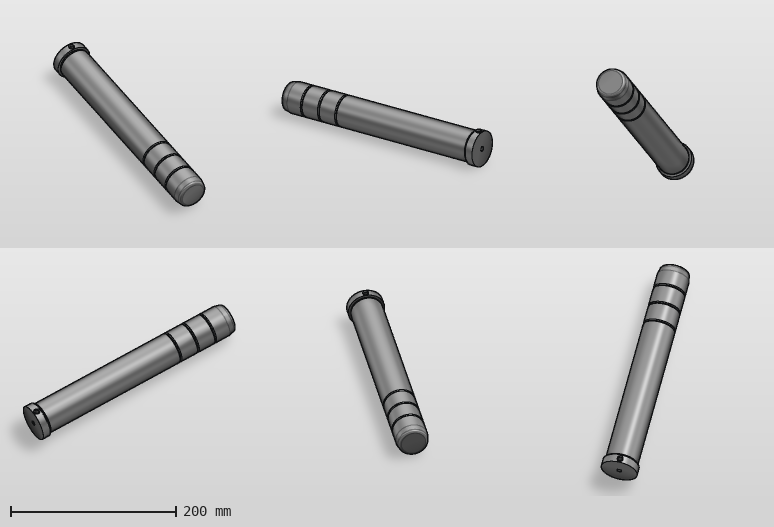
import cadquery as cq
import math

length = 280.0
head_diameter = 45.0
head_length = 10.0
body_diameter = 40.0
head_radius = head_diameter / 2
body_radius = body_diameter / 2

relief_end = 12.5
relief_ramp = 0.8
relief_depth = 0.5

first_groove = 199.5
groove_pitch = 25.0
groove_count = 3
groove_width = 2.8
groove_depth = 0.8

nose_length = 10.0
tip_length = 3.5
tip_radius = 18.5
nose_start = length - nose_length
tip_start = length - tip_length

drill_point_angle = 118
center_hole_diameter = 5.0
center_sink_diameter = 6.0
center_hole_depth = 8.5
side_hole_diameter = 5.0
side_sink_diameter = 7.8
side_hole_depth = 10.0


def make_pin():
    """Revolve the half profile of the pin about the X axis."""
    neck_radius = body_radius - relief_depth
    profile = (
        cq.Workplane("XZ")
        .lineTo(0, head_radius)
        .lineTo(head_length, head_radius)
        .lineTo(head_length, neck_radius)
        .lineTo(relief_end - relief_ramp, neck_radius)
        .lineTo(relief_end, body_radius)
    )
    for index in range(groove_count):
        middle = first_groove + index * groove_pitch
        profile = (
            profile.lineTo(middle - groove_width / 2, body_radius)
            .lineTo(middle, body_radius - groove_depth)
            .lineTo(middle + groove_width / 2, body_radius)
        )
    diagonal = tip_length * math.sqrt(0.5)
    profile = (
        profile.lineTo(nose_start, body_radius)
        .lineTo(tip_start, tip_radius)
        .threePointArc(
            (tip_start + diagonal, tip_radius - tip_length + diagonal),
            (length, tip_radius - tip_length),
        )
        .lineTo(length, 0)
        .close()
    )
    return profile.revolve(360, (0, 0, 0), (1, 0, 0))


def countersunk_hole(diameter, sink_diameter, depth):
    """Blind cutter entering at the origin along +X, with a 90 degree countersink and drill point."""
    sink_depth = (sink_diameter - diameter) / 2
    point_length = diameter / 2 / math.tan(math.radians(drill_point_angle / 2))
    return (
        cq.Workplane("XZ")
        .lineTo(0, sink_diameter / 2)
        .lineTo(sink_depth, diameter / 2)
        .lineTo(depth, diameter / 2)
        .lineTo(depth + point_length, 0)
        .close()
        .revolve(360, (0, 0, 0), (1, 0, 0))
    )


center_hole = countersunk_hole(center_hole_diameter, center_sink_diameter, center_hole_depth)
side_hole = (
    countersunk_hole(side_hole_diameter, side_sink_diameter, side_hole_depth)
    .rotate((0, 0, 0), (0, 1, 0), 90)
    .translate((head_length / 2, 0, head_radius))
)

result = make_pin().cut(center_hole).cut(side_hole)